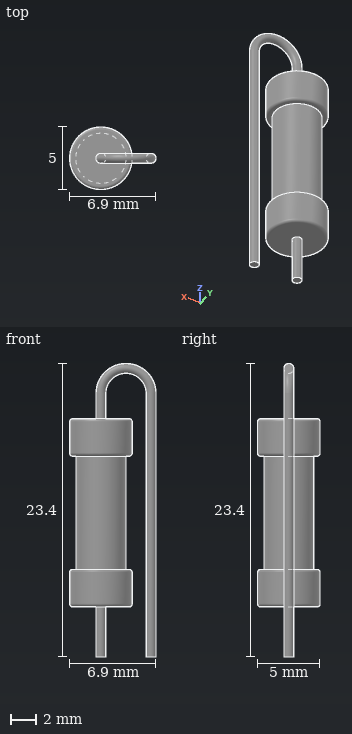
import cadquery as cq

body_diameter = 4.0
body_length = 15.0
cap_diameter = 5.0
cap_length = 3.0
cap_edge_radius = 0.25

lead_diameter = 0.8
lead_spacing = 4.0
lower_lead_length = 4.0
upper_lead_length = 2.0

lead_end_z = -lower_lead_length
bend_start_z = body_length + upper_lead_length
bend_radius = lead_spacing / 2


def make_cylinder(diameter, bottom_z, length):
    """Upright cylinder on the Z axis."""
    return cq.Workplane("XY").workplane(offset=bottom_z).circle(diameter / 2).extrude(length)


def make_end_cap(bottom_z):
    """Wide end cap with both rims rounded."""
    return make_cylinder(cap_diameter, bottom_z, cap_length).edges("%CIRCLE").fillet(cap_edge_radius)


def make_lead():
    """Round wire running up through the body, over a half-circle bend and back down."""
    path = (
        cq.Workplane("XZ")
        .moveTo(0, lead_end_z)
        .lineTo(0, bend_start_z)
        .threePointArc((bend_radius, bend_start_z + bend_radius), (lead_spacing, bend_start_z))
        .lineTo(lead_spacing, lead_end_z)
    )
    profile = cq.Workplane("XY").workplane(offset=lead_end_z).circle(lead_diameter / 2)
    return profile.sweep(path)


result = make_cylinder(body_diameter, 0, body_length)
for cap_bottom_z in (0, body_length - cap_length):
    result = result.union(make_end_cap(cap_bottom_z))
result = result.union(make_lead())